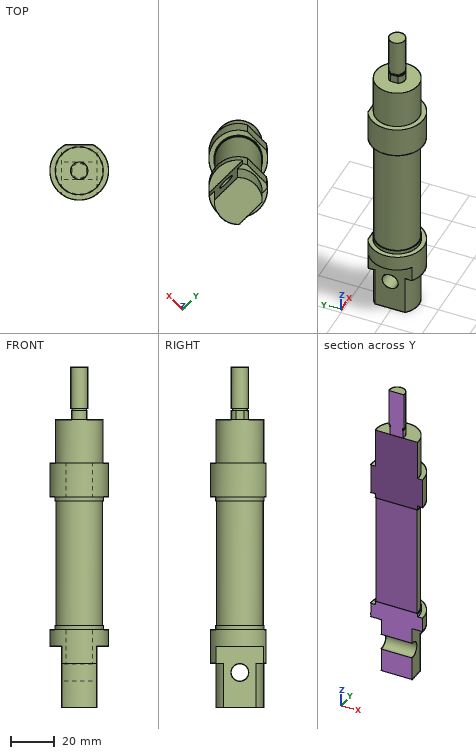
import cadquery as cq


total_height = 156.0
nose_length = 20.0
collar_height = 15.5
lip_height = 1.9
rear_collar_bottom = 20.3
rear_collar_top = rear_collar_bottom + collar_height
tube_bottom = rear_collar_top + lip_height
rod_length = 24.0
rod_bottom = total_height - rod_length
front_collar_top = rod_bottom - nose_length
front_collar_bottom = front_collar_top - collar_height
tube_top = front_collar_bottom - lip_height

nose_diameter = 22.0
collar_diameter = 27.0
collar_flat_offset = 12.0
lip_diameter = 22.3
tube_diameter = 21.5

tongue_thickness = 16.0
tongue_flat_top = 28.1
pivot_diameter = 8.0
pivot_height = 16.0

rod_diameter = 8.0
wrench_width = 7.0
groove_diameter = 6.9
groove_height = 1.0
thread_length = 19.0
groove_top = total_height - thread_length
groove_bottom = groove_top - groove_height


def cylinder(diameter, bottom, top):
    """Upright cylinder on the Z axis."""
    return cq.Workplane("XY").workplane(offset=bottom).circle(diameter / 2).extrude(top - bottom)


def slab(width, bottom, top):
    """Upright block of the given X width, long enough in Y to span any of the bodies."""
    span = 2 * collar_diameter
    return cq.Workplane("XY").workplane(offset=bottom).rect(width, span).extrude(top - bottom)


def make_collar(bottom):
    """Cap collar with one flat on its +Y side."""
    top = bottom + collar_height
    flat_limit = (
        cq.Workplane("XY")
        .workplane(offset=bottom)
        .center(0, collar_flat_offset - collar_diameter / 2)
        .rect(collar_diameter, collar_diameter)
        .extrude(collar_height)
    )
    return cylinder(collar_diameter, bottom, top).intersect(flat_limit)


def make_rear_cap():
    """Collar and lip above a two-sided tongue with a cross hole for the pivot."""
    tongue = cylinder(nose_diameter, 0, rear_collar_bottom)
    lip = cylinder(lip_diameter, rear_collar_top, tube_bottom)
    cap = make_collar(rear_collar_bottom).union(tongue).union(lip)

    flat_cutter = slab(2 * collar_diameter, 0, tongue_flat_top).cut(slab(tongue_thickness, 0, tongue_flat_top))
    pivot_hole = (
        cq.Workplane("YZ")
        .center(0, pivot_height)
        .circle(pivot_diameter / 2)
        .extrude(tongue_thickness, both=True)
    )
    return cap.cut(flat_cutter).cut(pivot_hole)


def make_tube():
    """Cylinder barrel between the two cap lips."""
    return cylinder(tube_diameter, tube_bottom, tube_top)


def make_front_cap():
    """Lip, collar and round nose."""
    lip = cylinder(lip_diameter, tube_top, front_collar_bottom)
    nose = cylinder(nose_diameter, front_collar_top, rod_bottom)
    return make_collar(front_collar_bottom).union(lip).union(nose)


def make_rod():
    """Rod end: wrench flats, relief groove and thread shank."""
    wrench_part = cylinder(rod_diameter, rod_bottom, groove_bottom)
    wrench_part = wrench_part.intersect(slab(wrench_width, rod_bottom, groove_bottom))
    groove = cylinder(groove_diameter, groove_bottom, groove_top)
    thread = cylinder(rod_diameter, groove_top, total_height)
    return wrench_part.union(groove).union(thread)


rear_cap = make_rear_cap()
tube = make_tube()
front_cap = make_front_cap()
rod = make_rod()

result = cq.Compound.makeCompound([rear_cap.val(), tube.val(), front_cap.val(), rod.val()])